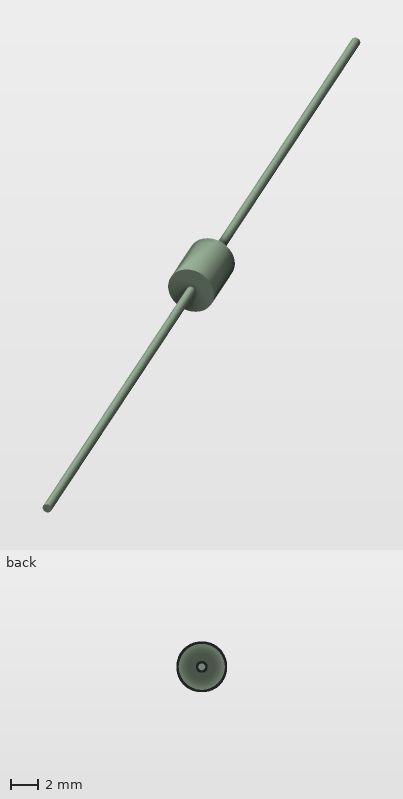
import cadquery as cq

overall_length = 69.0
body_diameter = 3.6
body_length = 4.6
lead_diameter = 0.7


def rod(diameter, length):
    """Cylinder along Y, centred on the origin."""
    return cq.Workplane("XZ", origin=(0, length / 2, 0)).circle(diameter / 2).extrude(length)


body = rod(body_diameter, body_length)
leads = rod(lead_diameter, overall_length)

result = body.union(leads)